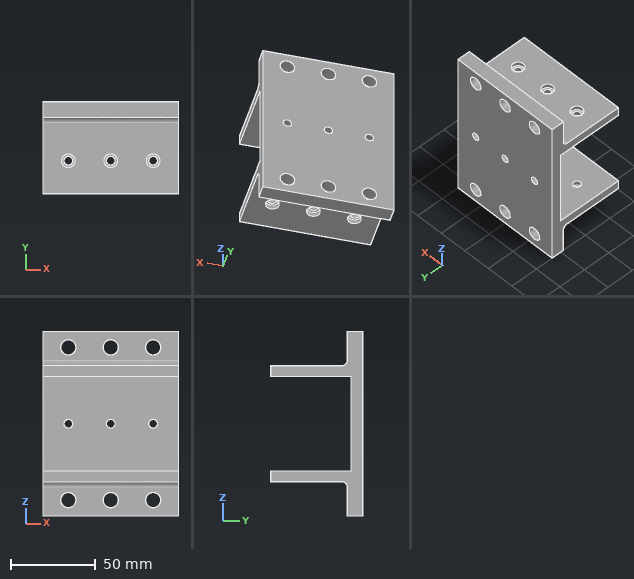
import cadquery as cq

WIDTH = 80.0
DEPTH = 54.3
HEIGHT = 109.0

STRIP_THICKNESS = 9.3
WEB_THICKNESS = 7.0

FLANGE_GAP = 55.5
FLANGE_THICKNESS = 6.5
FILLET_RADIUS = 3.0

COLUMN_PITCH = 25.0
MOUNT_HOLE_DIAMETER = 8.8
MOUNT_ROW_OFFSET = 45.0
SCREW_HOLE_DIAMETER = 5.0
COUNTERBORE_DIAMETER = 8.0
COUNTERBORE_DEPTH = 3.0
FLANGE_HOLE_FROM_TIP = 19.5

COLUMNS = [-COLUMN_PITCH, 0.0, COLUMN_PITCH]
FLANGE_INNER_Z = FLANGE_GAP / 2
FLANGE_OUTER_Z = FLANGE_INNER_Z + FLANGE_THICKNESS
FLANGE_HOLE_Y = FLANGE_HOLE_FROM_TIP - DEPTH


def block(depth, z_low, z_high):
    """Full-width block running forward from the back face."""
    return (
        cq.Workplane("XY")
        .box(WIDTH, depth, z_high - z_low, centered=(True, False, False))
        .translate((0, -depth, z_low))
    )


def bracket_body():
    """Back plate with both flanges and their outer root fillets."""
    body = block(WEB_THICKNESS, -FLANGE_OUTER_Z, FLANGE_OUTER_Z)
    body = body.union(block(STRIP_THICKNESS, FLANGE_OUTER_Z, HEIGHT / 2))
    body = body.union(block(STRIP_THICKNESS, -HEIGHT / 2, -FLANGE_OUTER_Z))
    body = body.union(block(DEPTH, FLANGE_INNER_Z, FLANGE_OUTER_Z))
    body = body.union(block(DEPTH, -FLANGE_OUTER_Z, -FLANGE_INNER_Z))
    for z in (-FLANGE_OUTER_Z, FLANGE_OUTER_Z):
        root = cq.selectors.NearestToPointSelector((0, -STRIP_THICKNESS, z))
        body = body.edges("|X").edges(root).fillet(FILLET_RADIUS)
    return body


def plate_holes(diameter, z):
    """Row of cutters passing through the back plate along Y."""
    return (
        cq.Workplane("XZ")
        .pushPoints([(x, z) for x in COLUMNS])
        .circle(diameter / 2)
        .extrude(STRIP_THICKNESS)
    )


def flange_cutters(diameter, z_low, length):
    """Row of vertical cutters at the flange hole positions."""
    return (
        cq.Workplane("XY")
        .workplane(offset=z_low)
        .pushPoints([(x, FLANGE_HOLE_Y) for x in COLUMNS])
        .circle(diameter / 2)
        .extrude(length)
    )


result = bracket_body()

for row_z in (-MOUNT_ROW_OFFSET, MOUNT_ROW_OFFSET):
    result = result.cut(plate_holes(MOUNT_HOLE_DIAMETER, row_z))
result = result.cut(plate_holes(SCREW_HOLE_DIAMETER, 0.0))

result = result.cut(flange_cutters(SCREW_HOLE_DIAMETER, -FLANGE_OUTER_Z, 2 * FLANGE_OUTER_Z))
for bore_z in (FLANGE_OUTER_Z - COUNTERBORE_DEPTH, -FLANGE_OUTER_Z):
    result = result.cut(flange_cutters(COUNTERBORE_DIAMETER, bore_z, COUNTERBORE_DEPTH))